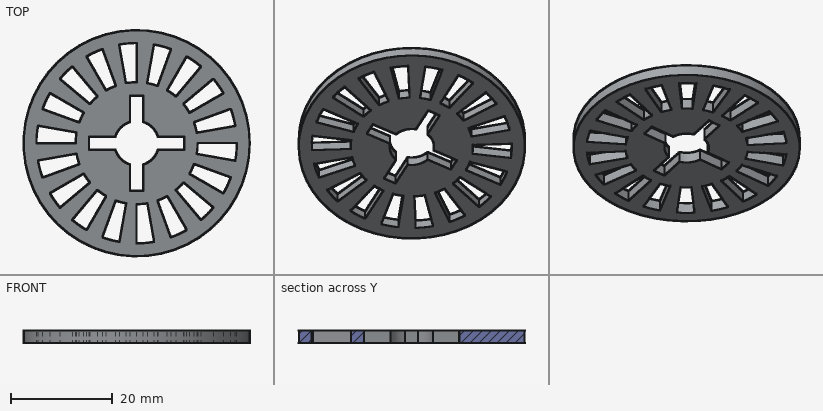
import cadquery as cq
import math

outer_radius = 22.22
thickness = 2.55

window_count = 18
window_inner_radius = 12.0
window_outer_radius = 19.65
window_pitch = 360 / window_count
window_angle = window_pitch / 2

bore_radius = 4.35
cross_length = 18.62
cross_width = 2.55


def polar_point(radius, angle):
    """Point at the given radius and angle in degrees, counterclockwise from +X."""
    return (radius * math.cos(math.radians(angle)), radius * math.sin(math.radians(angle)))


def make_window(start_angle):
    """Through-cutter bounded by two radial sides and two concentric arcs."""
    middle_angle = start_angle + window_angle / 2
    end_angle = start_angle + window_angle
    return (
        cq.Workplane("XY")
        .moveTo(*polar_point(window_inner_radius, start_angle))
        .lineTo(*polar_point(window_outer_radius, start_angle))
        .threePointArc(
            polar_point(window_outer_radius, middle_angle),
            polar_point(window_outer_radius, end_angle),
        )
        .lineTo(*polar_point(window_inner_radius, end_angle))
        .threePointArc(
            polar_point(window_inner_radius, middle_angle),
            polar_point(window_inner_radius, start_angle),
        )
        .close()
        .extrude(thickness)
    )


def make_hub_cutout():
    """Round bore joined with two perpendicular slots."""
    bore = cq.Workplane("XY").circle(bore_radius).extrude(thickness)
    slot_x = cq.Workplane("XY").rect(cross_length, cross_width).extrude(thickness)
    slot_y = cq.Workplane("XY").rect(cross_width, cross_length).extrude(thickness)
    return bore.union(slot_x).union(slot_y)


disc = cq.Workplane("XY").circle(outer_radius).extrude(thickness)
disc = disc.cut(make_hub_cutout())

for index in range(window_count):
    disc = disc.cut(make_window(index * window_pitch - window_angle))

result = disc